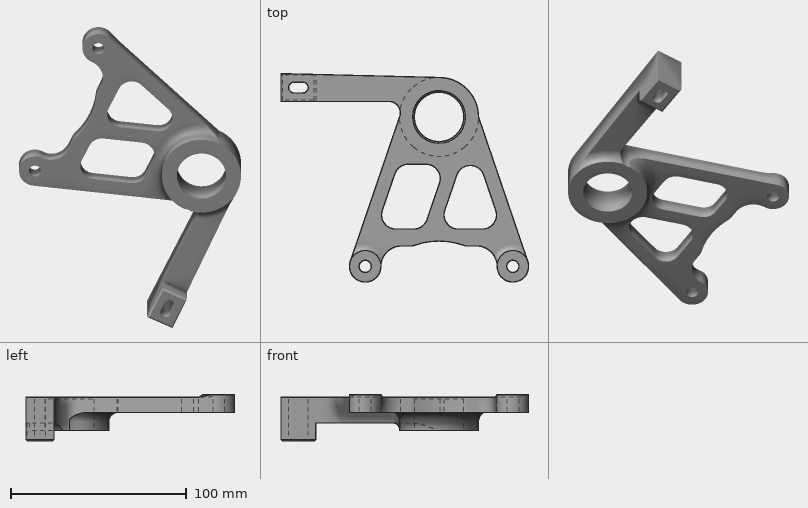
import cadquery as cq
import math


plate_thickness = 8.75
arm_thickness = 14.75
hub_height = 19.0
block_height = 25.0
boss_rise = 1.5

hub_radius = 22.5
bore_radius = 14.0
bore_chamfer = 1.0

blend_radius = 5.0

boss_x = 42.0
boss_y = -85.0
boss_radius = 9.0
boss_hole_radius = 3.4

arm_end_x = -90.0
arm_back_y = 24.71
arm_width = 16.0
arm_front_y = arm_back_y - arm_width
arm_corner_radius = 6.35
block_length = 20.0
block_chamfer = 1.0
slot_length = 11.0
slot_width = 6.0
slot_x = arm_end_x + block_length / 2
slot_y = arm_back_y - arm_width / 2

front_edge_y = -73.5
relief_top_y = -70.7
relief_radius = 42.0
relief_corner_radius = 5.0

pocket_back_y = -27.0
pocket_front_y = -63.75
pocket_corner_radius = 8.0
leg_width = 8.0
rib_width = 8.0
rib_axis_x = 17.25


def leg_tilt():
    """Angle from Y of the line that starts at the side of the hub and is tangent to a boss."""
    run = boss_x - hub_radius
    drop = -boss_y
    return math.atan2(run, drop) + math.asin(boss_radius / math.hypot(run, drop))


tilt = leg_tilt()
slope = math.tan(tilt)


def on_circle(center, radius, angle):
    """Point on a circle at the given angle in radians."""
    return (center[0] + radius * math.cos(angle), center[1] + radius * math.sin(angle))


def mirrored(point):
    """Point reflected in the YZ plane."""
    return (-point[0], point[1])


def outline():
    """Closed plan shape of the part, drawn clockwise from the back corner of the arm."""
    corner_distance = math.hypot(arm_end_x, arm_back_y)
    hub_angle = math.atan2(arm_back_y, arm_end_x) - math.acos(hub_radius / corner_distance)
    hub_start = on_circle((0, 0), hub_radius, hub_angle)
    hub_middle = on_circle((0, 0), hub_radius, hub_angle / 2)
    hub_end = (hub_radius, 0)

    boss_center = (boss_x, boss_y)
    boss_start = on_circle(boss_center, boss_radius, tilt)
    boss_middle = (boss_x, boss_y - boss_radius)
    boss_end = (boss_x - boss_radius, boss_y)

    notch_radius = front_edge_y - boss_y
    notch_center = (boss_end[0] - notch_radius, boss_y)
    notch_middle = on_circle(notch_center, notch_radius, math.pi / 4)
    notch_end = (notch_center[0], front_edge_y)

    relief_center_y = relief_top_y - relief_radius
    corner_center_y = front_edge_y + relief_corner_radius
    corner_rise = corner_center_y - relief_center_y
    corner_angle = math.asin(corner_rise / (relief_radius + relief_corner_radius))
    corner_x = corner_rise / math.tan(corner_angle)
    corner_center = (corner_x, corner_center_y)
    corner_start = (corner_x, front_edge_y)
    corner_middle = on_circle(corner_center, relief_corner_radius, corner_angle / 2 - 3 * math.pi / 4)
    corner_end = on_circle((0, relief_center_y), relief_radius, corner_angle)

    half_opening = (math.pi / 2 - tilt) / 2
    sharp_corner_x = -hub_radius + slope * arm_front_y
    round_x = sharp_corner_x - arm_corner_radius / math.tan(half_opening)
    round_center = (round_x, arm_front_y - arm_corner_radius)
    round_start = on_circle(round_center, arm_corner_radius, -tilt)
    round_middle = on_circle(round_center, arm_corner_radius, half_opening)
    round_end = (round_x, arm_front_y)

    return (
        cq.Workplane("XY")
        .moveTo(arm_end_x, arm_back_y)
        .lineTo(*hub_start)
        .threePointArc(hub_middle, hub_end)
        .lineTo(*boss_start)
        .threePointArc(boss_middle, boss_end)
        .threePointArc(notch_middle, notch_end)
        .lineTo(*corner_start)
        .threePointArc(corner_middle, corner_end)
        .threePointArc((0, relief_top_y), mirrored(corner_end))
        .threePointArc(mirrored(corner_middle), mirrored(corner_start))
        .lineTo(*mirrored(notch_end))
        .threePointArc(mirrored(notch_middle), mirrored(boss_end))
        .threePointArc(mirrored(boss_middle), mirrored(boss_start))
        .lineTo(*round_start)
        .threePointArc(round_middle, round_end)
        .lineTo(arm_end_x, arm_front_y)
        .close()
    )


def slab(depth, top=0.0):
    """The plan shape extruded from the given height down to a depth below the plate's top face."""
    return outline().extrude(-depth - top).translate((0, 0, top))


def block_between(x_min, x_max, y_min, y_max, depth):
    """Rectangular block reaching down from the plate's top face."""
    corner = (x_min, y_min, -depth)
    return cq.Workplane("XY").box(x_max - x_min, y_max - y_min, depth, centered=False).translate(corner)


def revolved(profile):
    """Turn a closed radius-height profile about the Z axis."""
    return profile.close().revolve(360, (0, 0, 0), (0, 1, 0))


def hub_blend(face_depth):
    """Core with a concave rim that runs from the hub wall out to a downward face at the given depth."""
    rim_center = (hub_radius + blend_radius, -face_depth - blend_radius)
    rim_middle = on_circle(rim_center, blend_radius, 3 * math.pi / 4)
    profile = (
        cq.Workplane("XZ")
        .lineTo(rim_center[0], 0)
        .lineTo(rim_center[0], -face_depth)
        .threePointArc(rim_middle, (hub_radius, rim_center[1]))
        .lineTo(0, rim_center[1])
    )
    return revolved(profile).intersect(slab(hub_height))


def hub():
    """Round hub below the plate, blended into the plate's lower face."""
    cylinder = cq.Workplane("XY").circle(hub_radius).extrude(-hub_height).intersect(slab(hub_height))
    return cylinder.union(hub_blend(plate_thickness))


def arm():
    """Thick portion behind the bore axis, blended into the hub, with the chamfered end block."""
    behind_axis = block_between(arm_end_x, hub_radius, 0, arm_back_y, hub_height)
    beam = slab(arm_thickness).union(hub_blend(arm_thickness)).intersect(behind_axis)
    block_end_x = arm_end_x + block_length
    block = block_between(arm_end_x, block_end_x, arm_front_y, arm_back_y, block_height)
    block = block.faces("<Z").chamfer(block_chamfer).intersect(slab(block_height))
    return beam.union(block)


def boss(x):
    """Raised boss whose concave flank runs out tangent to the plate's top face."""
    flank_angle = math.acos(1 - boss_rise / blend_radius)
    outer_radius = boss_radius + blend_radius * math.sin(flank_angle)
    flank_middle = on_circle((outer_radius, blend_radius), blend_radius, -math.pi / 2 - flank_angle / 2)
    profile = (
        cq.Workplane("XZ")
        .moveTo(0, -plate_thickness)
        .lineTo(outer_radius, -plate_thickness)
        .lineTo(outer_radius, 0)
        .threePointArc(flank_middle, (boss_radius, boss_rise))
        .lineTo(0, boss_rise)
    )
    return revolved(profile).translate((x, boss_y, 0)).intersect(slab(plate_thickness, boss_rise))


def bore():
    """Cutter for the hub bore with its chamfered upper rim."""
    rim_radius = bore_radius + bore_chamfer
    profile = (
        cq.Workplane("XZ")
        .lineTo(rim_radius, 0)
        .lineTo(bore_radius, -bore_chamfer)
        .lineTo(bore_radius, -hub_height)
        .lineTo(0, -hub_height)
    )
    return revolved(profile)


def boss_hole(x):
    """Cutter for the through hole in a boss."""
    hole = cq.Workplane("XY").circle(boss_hole_radius).extrude(-plate_thickness - boss_rise)
    return hole.translate((x, boss_y, boss_rise))


def arm_slot():
    """Cutter for the slot through the end block."""
    slot = cq.Workplane("XY").center(slot_x, slot_y).slot2D(slot_length, slot_width)
    return slot.extrude(-block_height)


def pocket(corners):
    """Cutter for a through pocket with rounded corners."""
    prism = cq.Workplane("XY").polyline(corners).close().extrude(-plate_thickness)
    return prism.edges("|Z").fillet(pocket_corner_radius)


def pockets():
    """Cutters for the four-sided pocket and the triangular pocket on either side of the rib."""
    leg_inner_x = hub_radius - leg_width / math.cos(tilt)
    half_rib = rib_width / 2 / math.cos(tilt)
    rib_left_x = rib_axis_x - half_rib
    rib_right_x = rib_axis_x + half_rib

    front_shift = slope * pocket_front_y
    back_shift = slope * pocket_back_y
    four_sided = [
        (-leg_inner_x + front_shift, pocket_front_y),
        (rib_left_x + front_shift, pocket_front_y),
        (rib_left_x + back_shift, pocket_back_y),
        (-leg_inner_x + back_shift, pocket_back_y),
    ]
    apex_x = (rib_right_x + leg_inner_x) / 2
    apex_y = (leg_inner_x - rib_right_x) / 2 / slope
    triangular = [
        (rib_right_x + front_shift, pocket_front_y),
        (leg_inner_x - front_shift, pocket_front_y),
        (apex_x, apex_y),
    ]
    return pocket(four_sided), pocket(triangular)


result = slab(plate_thickness).union(hub()).union(arm())
for x in (-boss_x, boss_x):
    result = result.union(boss(x)).cut(boss_hole(x))
result = result.cut(bore()).cut(arm_slot())
for cutter in pockets():
    result = result.cut(cutter)